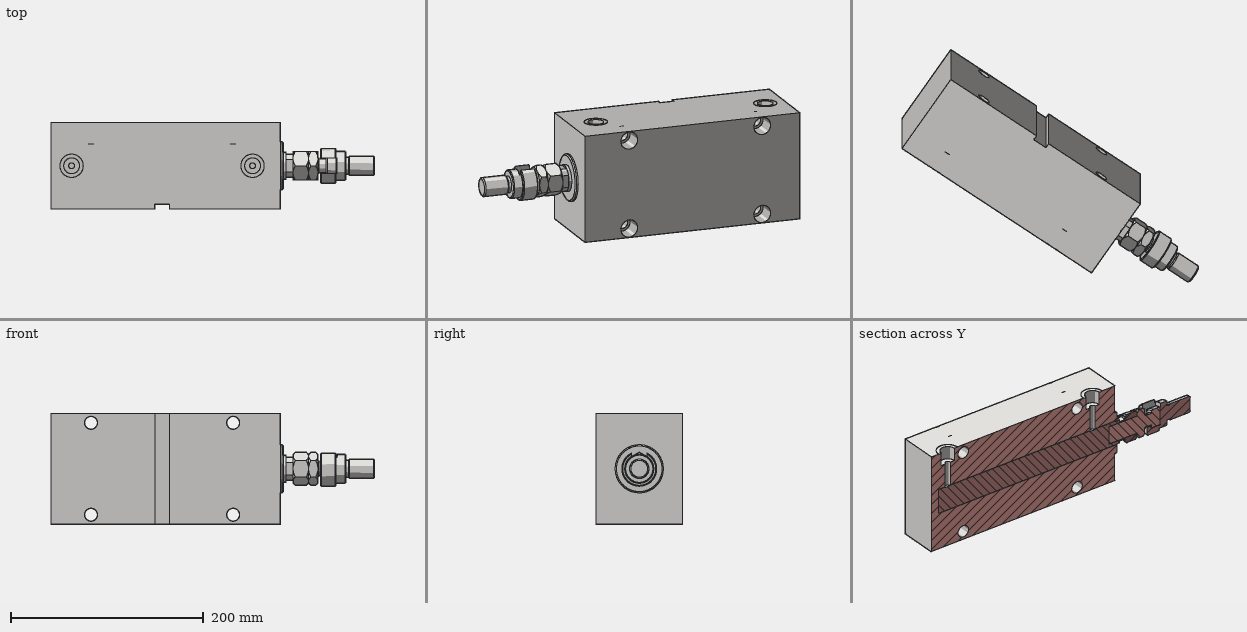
import cadquery as cq
import math


HOUSING_LENGTH = 238.0
HOUSING_WIDTH = 90.0
HOUSING_HEIGHT = 115.0
KEY_GROOVE_START = 107.7
KEY_GROOVE_WIDTH = 15.0
KEY_GROOVE_DEPTH = 5.0

BOLT_X = (41.5, 189.0)
BOLT_OFFSET_Z = 47.5
BOLT_DIAMETER = 13.0
BOLT_HEAD_DIAMETER = 18.5
BOLT_HEAD_DEPTH = 22.0

PORT_X = (21.5, 209.0)
PORT_SEAT_DIAMETER = 24.0
PORT_SEAT_DEPTH = 0.5
PORT_DIAMETER = 16.5
PORT_DEPTH = 15.0
CHANNEL_DIAMETER = 6.0

GUIDE_DIAMETER = 50.0
GUIDE_LENGTH = 3.0
GUIDE_CHAMFER = 1.5

ROD_DIAMETER = 28.2
ROD_REAR_X = 10.0
ROD_NECK_X = HOUSING_LENGTH + 6.0
ROD_END_X = HOUSING_LENGTH + 13.0
ROD_NECK_DIAMETER = 27.5
ROD_NECK_FLATS = 24.0

HEX_FLATS = 30.0
HEX_CHAMFER_LENGTH = 2.5
NUT_LENGTH = 16.0
NUT_END_X = ROD_END_X + NUT_LENGTH
SHANK_DIAMETER = 20.0
SHANK_DEPTH_IN_ROD = 20.0
STUD_HEX_LENGTH = 9.7
STUD_HEX_END_X = NUT_END_X + STUD_HEX_LENGTH
STUD_SHOULDER_DIAMETER = 16.5
STUD_SHOULDER_LENGTH = 1.0
STUD_NECK_DIAMETER = 14.5
STUD_HEAD_X = HOUSING_LENGTH + 47.3
STUD_HEAD_DIAMETER = 22.5
STUD_HEAD_CHAMFER = 1.5

COUPLER_X = HOUSING_LENGTH + 41.5
COUPLER_DIAMETER = 36.2
COUPLER_LENGTH = 16.0
COUPLER_CHAMFER = 1.0
SLOT_WIDTH = 15.8
SLOT_LENGTH = 17.0
SLOT_END_X = COUPLER_X + SLOT_LENGTH
HUB_DIAMETER = 30.2
HUB_LENGTH = 10.0
UNDERCUT_DIAMETER = 17.8
UNDERCUT_LENGTH = 2.7
THREAD_DIAMETER = 20.0
THREAD_CHAMFER = 1.5
COUPLER_END_X = 335.5


def rod_cylinder(diameter, start_x, end_x):
    """A cylinder on the rod axis."""
    return cq.Workplane("YZ", origin=(start_x, 0, 0)).circle(diameter / 2).extrude(end_x - start_x)


def chamfered_hexagon(start_x, length):
    """A hexagon with corners at +Z and -Z, both ends trimmed by cones."""
    corner_radius = HEX_FLATS / math.sqrt(3)
    flat_radius = HEX_FLATS / 2
    end_x = start_x + length
    prism = (
        cq.Workplane("YZ", origin=(start_x, 0, 0))
        .polygon(6, 2 * corner_radius)
        .extrude(length)
        .rotate((0, 0, 0), (1, 0, 0), 90)
    )
    cone_trim = (
        cq.Workplane("XY")
        .moveTo(start_x, 0)
        .lineTo(start_x, flat_radius)
        .lineTo(start_x + HEX_CHAMFER_LENGTH, corner_radius)
        .lineTo(end_x - HEX_CHAMFER_LENGTH, corner_radius)
        .lineTo(end_x, flat_radius)
        .lineTo(end_x, 0)
        .close()
        .revolve(360, (0, 0, 0), (1, 0, 0))
    )
    return prism.intersect(cone_trim)


def cross_bolt_holes():
    """Four holes along Y with head counterbores sunk from the +Y face."""
    points = [(x, z) for x in BOLT_X for z in (-BOLT_OFFSET_Z, BOLT_OFFSET_Z)]
    front_face = cq.Workplane("XZ", origin=(0, -HOUSING_WIDTH / 2, 0)).pushPoints(points)
    back_face = cq.Workplane("XZ", origin=(0, HOUSING_WIDTH / 2, 0)).pushPoints(points)
    shanks = front_face.circle(BOLT_DIAMETER / 2).extrude(-HOUSING_WIDTH)
    heads = back_face.circle(BOLT_HEAD_DIAMETER / 2).extrude(BOLT_HEAD_DEPTH)
    return shanks.union(heads)


def oil_port(x):
    """A shallow seat, a port bore and a channel down to the rod."""
    top = cq.Workplane("XY", origin=(x, 0, HOUSING_HEIGHT / 2))
    seat = top.circle(PORT_SEAT_DIAMETER / 2).extrude(-PORT_SEAT_DEPTH)
    bore = top.circle(PORT_DIAMETER / 2).extrude(-PORT_DEPTH)
    channel = top.circle(CHANNEL_DIAMETER / 2).extrude(-HOUSING_HEIGHT / 2)
    return seat.union(bore).union(channel)


def make_housing():
    block = cq.Workplane("XY").box(
        HOUSING_LENGTH, HOUSING_WIDTH, HOUSING_HEIGHT, centered=(False, True, True)
    )
    guide_end_x = HOUSING_LENGTH + GUIDE_LENGTH
    guide = rod_cylinder(GUIDE_DIAMETER, HOUSING_LENGTH, guide_end_x).faces(">X").chamfer(GUIDE_CHAMFER)
    key_groove = cq.Workplane("XY").box(
        KEY_GROOVE_WIDTH, KEY_GROOVE_DEPTH, HOUSING_HEIGHT, centered=(False, False, True)
    ).translate((KEY_GROOVE_START, -HOUSING_WIDTH / 2, 0))
    housing = block.union(guide).cut(key_groove).cut(cross_bolt_holes())
    for x in PORT_X:
        housing = housing.cut(oil_port(x))
    return housing.cut(rod_cylinder(ROD_DIAMETER, ROD_REAR_X, guide_end_x))


def make_rod():
    """The rod with a square-flatted neck and a blind hole for the stud shank."""
    neck_length = ROD_END_X - ROD_NECK_X
    flats = (
        cq.Workplane("YZ", origin=(ROD_NECK_X, 0, 0))
        .rect(ROD_NECK_FLATS, ROD_NECK_FLATS)
        .extrude(neck_length)
    )
    neck = rod_cylinder(ROD_NECK_DIAMETER, ROD_NECK_X, ROD_END_X).intersect(flats)
    shank_hole = rod_cylinder(SHANK_DIAMETER, ROD_END_X - SHANK_DEPTH_IN_ROD, ROD_END_X)
    return rod_cylinder(ROD_DIAMETER, ROD_REAR_X, ROD_NECK_X).union(neck).cut(shank_hole)


def make_lock_nut():
    return chamfered_hexagon(ROD_END_X, NUT_LENGTH).cut(rod_cylinder(SHANK_DIAMETER, ROD_END_X, NUT_END_X))


def make_stud():
    """Shank, hexagon, shoulder, neck and T-head."""
    shoulder_end_x = STUD_HEX_END_X + STUD_SHOULDER_LENGTH
    head = rod_cylinder(STUD_HEAD_DIAMETER, STUD_HEAD_X, SLOT_END_X)
    head = head.faces("<X or >X").chamfer(STUD_HEAD_CHAMFER)
    return (
        rod_cylinder(SHANK_DIAMETER, ROD_END_X - SHANK_DEPTH_IN_ROD, NUT_END_X)
        .union(chamfered_hexagon(NUT_END_X, STUD_HEX_LENGTH))
        .union(rod_cylinder(STUD_SHOULDER_DIAMETER, STUD_HEX_END_X, shoulder_end_x))
        .union(rod_cylinder(STUD_NECK_DIAMETER, shoulder_end_x, STUD_HEAD_X))
        .union(head)
    )


def make_coupler():
    """A slotted disc with a hub, an undercut and a threaded pin."""
    disc_end_x = COUPLER_X + COUPLER_LENGTH
    hub_end_x = disc_end_x + HUB_LENGTH
    thread_start_x = hub_end_x + UNDERCUT_LENGTH
    disc = rod_cylinder(COUPLER_DIAMETER, COUPLER_X, disc_end_x).faces("<X or >X").chamfer(COUPLER_CHAMFER)
    hub = rod_cylinder(HUB_DIAMETER, disc_end_x, hub_end_x).faces(">X").chamfer(COUPLER_CHAMFER)
    undercut = rod_cylinder(UNDERCUT_DIAMETER, hub_end_x, thread_start_x)
    pin = rod_cylinder(THREAD_DIAMETER, thread_start_x, COUPLER_END_X)
    pin = pin.faces("<X or >X").chamfer(THREAD_CHAMFER)

    slot_bottom = rod_cylinder(SLOT_WIDTH, COUPLER_X, SLOT_END_X)
    slot_mouth = cq.Workplane("XY").box(
        SLOT_LENGTH, SLOT_WIDTH, COUPLER_DIAMETER / 2, centered=(False, True, False)
    ).translate((COUPLER_X, 0, 0))
    head_chamber = rod_cylinder(STUD_HEAD_DIAMETER, STUD_HEAD_X, SLOT_END_X)
    body = disc.union(hub).union(undercut).union(pin)
    return body.cut(slot_bottom).cut(slot_mouth).cut(head_chamber)


housing = make_housing()
rod = make_rod()
lock_nut = make_lock_nut()
stud = make_stud()
coupler = make_coupler()

result = cq.Compound.makeCompound(
    [housing.val(), rod.val(), lock_nut.val(), stud.val(), coupler.val()]
)